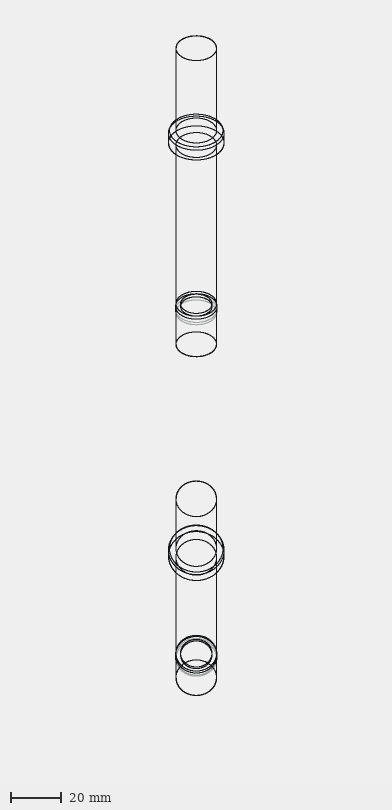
import cadquery as cq

length = 147.5
land_diameter = 16.4
land_step = 0.18
shaft_diameter = land_diameter - 2 * land_step

collar_diameter = 22.0
collar_bottom = 99.3
collar_height = 7.2
top_bevel_height = 1.3
top_bevel_width = 0.5
underside_rise = 1.0

land_bottom = 17.3
taper_height = 1.3

groove_diameter = 12.4
groove_bottom = 18.9
groove_width = 1.3


def revolve_profile(profile):
    """Turn a closed (radius, height) profile around the shaft axis."""
    return profile.close().revolve(360, (0, 0), (0, 1))


def make_collar():
    """Collar with a steep upper bevel and an underside curving up from the shaft to the rim."""
    radius = collar_diameter / 2
    collar_top = collar_bottom + collar_height
    profile = (
        cq.Workplane("XZ")
        .moveTo(0, collar_bottom)
        .lineTo(shaft_diameter / 2, collar_bottom)
        .tangentArcPoint((radius, collar_bottom + underside_rise), relative=False)
        .lineTo(radius, collar_top - top_bevel_height)
        .lineTo(radius - top_bevel_width, collar_top)
        .lineTo(0, collar_top)
    )
    return revolve_profile(profile)


def make_land():
    """Raised land that tapers down to the shaft diameter."""
    profile = cq.Workplane("XZ").polyline([
        (0, land_bottom - taper_height),
        (shaft_diameter / 2, land_bottom - taper_height),
        (land_diameter / 2, land_bottom),
        (land_diameter / 2, groove_bottom),
        (0, groove_bottom),
    ])
    return revolve_profile(profile)


def make_groove():
    """Ring of material to remove above the land."""
    return (
        cq.Workplane("XY")
        .workplane(offset=groove_bottom)
        .circle(land_diameter / 2)
        .circle(groove_diameter / 2)
        .extrude(groove_width)
    )


shaft = cq.Workplane("XY").circle(shaft_diameter / 2).extrude(length)
result = shaft.union(make_collar()).union(make_land()).cut(make_groove())